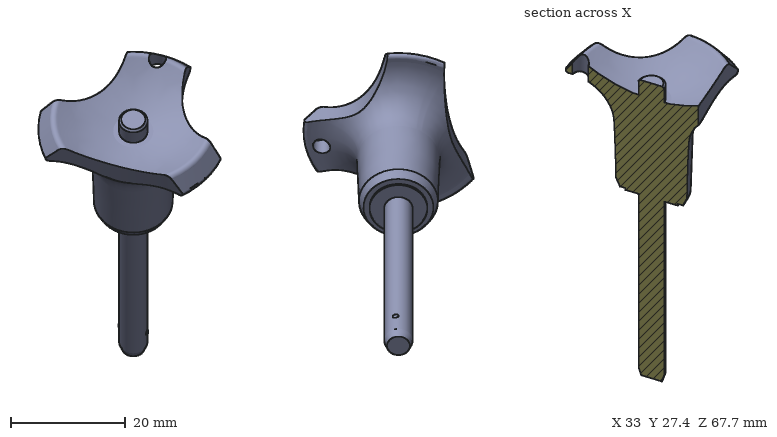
import cadquery as cq
import math

total_length = 67.7
handle_height = 26.6
tip_z = handle_height - total_length

shank_radius = 2.5
tip_radius = 2.0
tip_chamfer_height = 1.6
button_recess = 0.45
button_chamfer = 0.4

ball_radius = 0.6
ball_height_above_tip = 5.5
ball_reach = 2.75

collar_radius = 5.05
collar_height = 0.4
barrel_foot_radius = 6.1
barrel_bottom_radius = 6.9
barrel_bottom_z = 2.2
barrel_top_radius = 7.25
barrel_top_z = 14.7

flare_radius = 8.0
head_radius = 16.585
rim_fillet = 0.64
rim_slope = math.radians(53)
crest_fillet = 1.0
dish_radius = 23.9
bushing_radius = 3.5

arm_half_width = 5.43
arm_straight_end_y = 13.25
side_scoop_radius = 15.3
front_corner_y = -10.815
front_scoop_y = -9.12
outline_margin = 2.0

lanyard_hole_radius = 1.5
lanyard_hole_y = 13.68


def point_on_circle(center, radius, angle):
    return (center[0] + radius * math.cos(angle), center[1] + radius * math.sin(angle))


def make_turned_handle():
    """Barrel, flare, sloping rim and dished top as one revolved body."""
    underside_z = barrel_top_z + flare_radius
    rim_normal = math.pi / 2 - rim_slope

    flare_center = (barrel_top_radius + flare_radius, barrel_top_z)
    flare_mid = point_on_circle(flare_center, flare_radius, math.radians(135))
    flare_end = (flare_center[0], underside_z)

    rim_center = (head_radius - rim_fillet, underside_z + rim_fillet)
    rim_start = (rim_center[0], underside_z)
    rim_mid = (head_radius, rim_center[1])
    rim_end = point_on_circle(rim_center, rim_fillet, rim_normal)

    crest_center_z = handle_height - crest_fillet
    cone_offset = (rim_fillet - crest_fillet) / math.cos(rim_normal)
    crest_rise = crest_center_z - rim_center[1]
    crest_center_radius = rim_center[0] + cone_offset - crest_rise * math.tan(rim_normal)
    crest_center = (crest_center_radius, crest_center_z)
    crest_start = point_on_circle(crest_center, crest_fillet, rim_normal)
    crest_apex = (crest_center_radius, handle_height)

    dish_fillet_span = dish_radius + crest_fillet
    dish_center_rise = math.sqrt(dish_fillet_span**2 - crest_center_radius**2)
    dish_center = (0, crest_center_z + dish_center_rise)
    dish_start_angle = -math.acos(crest_center_radius / dish_fillet_span)
    dish_end_angle = -math.acos(bushing_radius / dish_radius)
    dish_mid_angle = (dish_start_angle + dish_end_angle) / 2
    dish_start = point_on_circle(dish_center, dish_radius, dish_start_angle)
    dish_mid = point_on_circle(dish_center, dish_radius, dish_mid_angle)
    dish_end = point_on_circle(dish_center, dish_radius, dish_end_angle)

    profile = (
        cq.Workplane("XZ")
        .lineTo(collar_radius, 0)
        .lineTo(collar_radius, collar_height)
        .lineTo(barrel_foot_radius, collar_height)
        .lineTo(barrel_bottom_radius, barrel_bottom_z)
        .lineTo(barrel_top_radius, barrel_top_z)
        .threePointArc(flare_mid, flare_end)
        .lineTo(*rim_start)
        .threePointArc(rim_mid, rim_end)
        .lineTo(*crest_start)
        .threePointArc(crest_apex, dish_start)
        .threePointArc(dish_mid, dish_end)
        .lineTo(0, dish_end[1])
        .close()
    )
    return profile.revolve(360, (0, 0, 0), (0, 1, 0))


def make_arm_outline():
    """Vertical prism that leaves three arms, symmetric about the YZ plane."""
    beyond_rim = head_radius + outline_margin
    side_center_x = arm_half_width + side_scoop_radius
    side_corner_y = arm_straight_end_y - math.sqrt(
        side_scoop_radius**2 - (side_center_x - beyond_rim) ** 2
    )
    side_center = (side_center_x, arm_straight_end_y)
    side_mid_angle = math.radians(220)
    side_mid = point_on_circle(side_center, side_scoop_radius, side_mid_angle)

    front_corner_x = math.sqrt(head_radius**2 - front_corner_y**2)
    sagitta = front_scoop_y - front_corner_y
    front_scoop_radius = (front_corner_x**2 + sagitta**2) / (2 * sagitta)
    front_center_y = front_scoop_y - front_scoop_radius
    front_end_y = front_center_y + math.sqrt(front_scoop_radius**2 - beyond_rim**2)

    return (
        cq.Workplane("XY")
        .moveTo(-arm_half_width, beyond_rim)
        .lineTo(arm_half_width, beyond_rim)
        .lineTo(arm_half_width, arm_straight_end_y)
        .threePointArc(side_mid, (beyond_rim, side_corner_y))
        .lineTo(beyond_rim, front_end_y)
        .threePointArc((0, front_scoop_y), (-beyond_rim, front_end_y))
        .lineTo(-beyond_rim, side_corner_y)
        .threePointArc((-side_mid[0], side_mid[1]), (-arm_half_width, arm_straight_end_y))
        .close()
        .extrude(handle_height)
    )


def make_lanyard_hole():
    return (
        cq.Workplane("XY")
        .center(0, lanyard_hole_y)
        .circle(lanyard_hole_radius)
        .extrude(handle_height)
    )


def make_shank_and_button():
    """Full-length rod: chamfered tip below and release button above the dish."""
    button_z = handle_height - button_recess
    return (
        cq.Workplane("XZ")
        .moveTo(0, tip_z)
        .lineTo(tip_radius, tip_z)
        .lineTo(shank_radius, tip_z + tip_chamfer_height)
        .lineTo(shank_radius, button_z - button_chamfer)
        .lineTo(shank_radius - button_chamfer, button_z)
        .lineTo(0, button_z)
        .close()
        .revolve(360, (0, 0, 0), (0, 1, 0))
    )


def make_locking_ball(side):
    """Ball on the +X (side = 1) or -X (side = -1) flank of the shank."""
    center_x = side * (ball_reach - ball_radius)
    ball_z = tip_z + ball_height_above_tip
    return cq.Workplane("XY").sphere(ball_radius).translate((center_x, 0, ball_z))


handle = make_turned_handle().intersect(make_arm_outline()).cut(make_lanyard_hole())
result = handle.union(make_shank_and_button())
for side in (-1, 1):
    result = result.union(make_locking_ball(side))